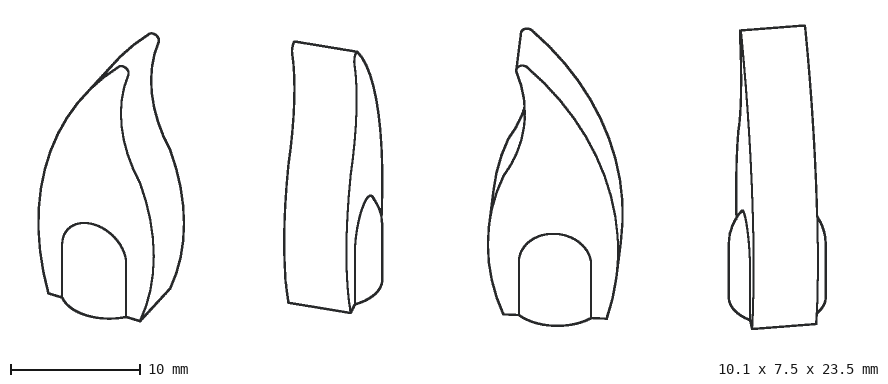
import cadquery as cq
import math

plate_thickness = 5.0
base_half_width = 4.0
shoulder_height = 13.0

back_center = (19.0, 6.42)
belly_center = (-13.0, shoulder_height / 2)
hollow_center = (13.95, 19.0)
tip_radius = 0.5

boss_radius = 3.75
boss_cylinder_height = 5.0

base_left = (-base_half_width, 0.0)
base_right = (base_half_width, 0.0)
shoulder = (base_half_width, shoulder_height)


def point_between(center, start, end):
    """Point on the arc around center, halfway along the short way from start to end."""
    radius = math.dist(center, start)
    toward_x = (start[0] + end[0]) / 2 - center[0]
    toward_z = (start[1] + end[1]) / 2 - center[1]
    reach = radius / math.hypot(toward_x, toward_z)
    return (center[0] + toward_x * reach, center[1] + toward_z * reach)


def lower_crossing(center_a, radius_a, center_b, radius_b):
    """Lower of the two points where two circles cross."""
    gap = math.dist(center_a, center_b)
    along = (gap**2 + radius_a**2 - radius_b**2) / (2 * gap)
    across = math.sqrt(radius_a**2 - along**2)
    unit_x = (center_b[0] - center_a[0]) / gap
    unit_z = (center_b[1] - center_a[1]) / gap
    crossings = [
        (
            center_a[0] + along * unit_x - side * across * unit_z,
            center_a[1] + along * unit_z + side * across * unit_x,
        )
        for side in (-1, 1)
    ]
    return min(crossings, key=lambda point: point[1])


def make_flame():
    """Flame plate with its tip rounded tangent to both sides."""
    back_radius = math.dist(back_center, base_left)
    hollow_radius = math.dist(hollow_center, shoulder)
    sharp_tip = lower_crossing(back_center, back_radius, hollow_center, hollow_radius)
    plate = (
        cq.Workplane("XZ")
        .moveTo(*base_left)
        .lineTo(*base_right)
        .threePointArc(point_between(belly_center, base_right, shoulder), shoulder)
        .threePointArc(point_between(hollow_center, shoulder, sharp_tip), sharp_tip)
        .threePointArc(point_between(back_center, sharp_tip, base_left), base_left)
        .close()
        .extrude(plate_thickness / 2, both=True)
    )
    return plate.edges("|Y").edges(">Z").fillet(tip_radius)


def make_boss():
    """Upright cylinder capped by a hemisphere of the same radius."""
    dome_top = boss_cylinder_height + boss_radius
    dome_middle = point_between(
        (0.0, boss_cylinder_height),
        (boss_radius, boss_cylinder_height),
        (0.0, dome_top),
    )
    return (
        cq.Workplane("XZ")
        .lineTo(boss_radius, 0)
        .lineTo(boss_radius, boss_cylinder_height)
        .threePointArc(dome_middle, (0, dome_top))
        .close()
        .revolve(360, (0, 0), (0, 1))
    )


result = make_flame().union(make_boss())